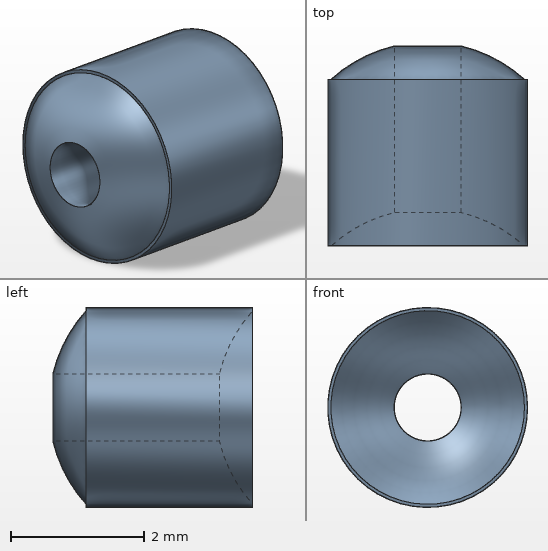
import cadquery as cq
import math

outer_radius = 1.5
total_length = 3.0
hole_radius = 0.5
sphere_rim_radius = 1.452
dome_height = 0.5
body_length = total_length - dome_height

rim_offset = (sphere_rim_radius**2 - hole_radius**2 - dome_height**2) / (2 * dome_height)
sphere_radius = math.hypot(rim_offset, sphere_rim_radius)

middle_radius = (sphere_rim_radius + hole_radius) / 2
middle_height = math.sqrt(sphere_radius**2 - middle_radius**2) - rim_offset

profile = (
    cq.Workplane("XY")
    .moveTo(hole_radius, dome_height)
    .threePointArc((middle_radius, middle_height), (sphere_rim_radius, 0))
    .lineTo(outer_radius, 0)
    .lineTo(outer_radius, body_length)
    .lineTo(sphere_rim_radius, body_length)
    .threePointArc((middle_radius, body_length + middle_height), (hole_radius, total_length))
    .close()
)

result = profile.revolve(360, (0, 0, 0), (0, 1, 0)).translate((0, -total_length / 2, 0))